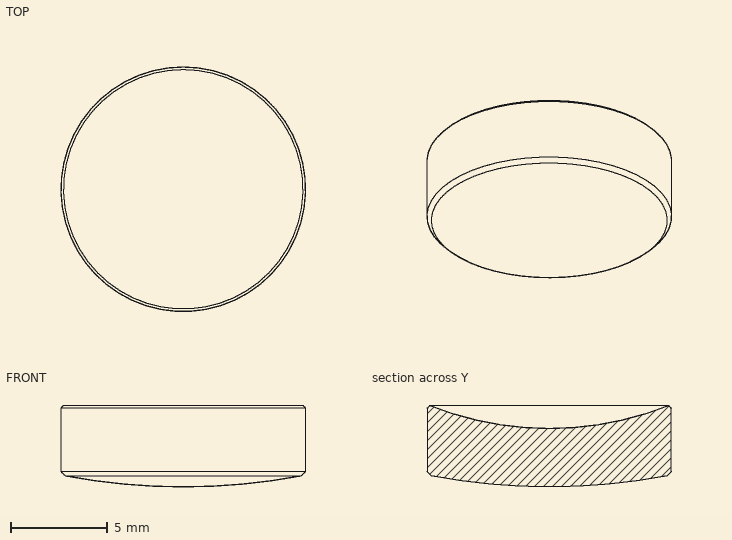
import cadquery as cq
import math

lens_radius = 12.7 / 2
total_height = 4.24
convex_sag = 0.57
concave_sag = 1.20
top_bevel = 0.14
bottom_bevel = 0.23

top_z = total_height
dish_radius = lens_radius - top_bevel
cap_radius = lens_radius - bottom_bevel


def sphere_radius(rim_radius, sag):
    """Radius of the sphere whose cap has this rim radius and sag."""
    return (rim_radius**2 + sag**2) / (2 * sag)


def cap_midpoint(rim_radius, sag):
    """Point halfway along the cap's arc: distance from the axis, height above the vertex."""
    radius = sphere_radius(rim_radius, sag)
    half_angle = math.asin(rim_radius / radius) / 2
    return radius * math.sin(half_angle), radius * (1 - math.cos(half_angle))


def lens_profile():
    """Half section of the lens, from the axis out to the edge."""
    dish_vertex_z = top_z - concave_sag
    cap_mid_r, cap_mid_rise = cap_midpoint(cap_radius, convex_sag)
    dish_mid_r, dish_mid_rise = cap_midpoint(dish_radius, concave_sag)
    return (
        cq.Workplane("YZ")
        .moveTo(0, 0)
        .threePointArc((cap_mid_r, cap_mid_rise), (cap_radius, convex_sag))
        .lineTo(lens_radius, convex_sag + bottom_bevel)
        .lineTo(lens_radius, top_z - top_bevel)
        .lineTo(dish_radius, top_z)
        .threePointArc((dish_mid_r, dish_vertex_z + dish_mid_rise), (0, dish_vertex_z))
        .close()
    )


result = lens_profile().revolve(360, (0, 0, 0), (0, 1, 0))